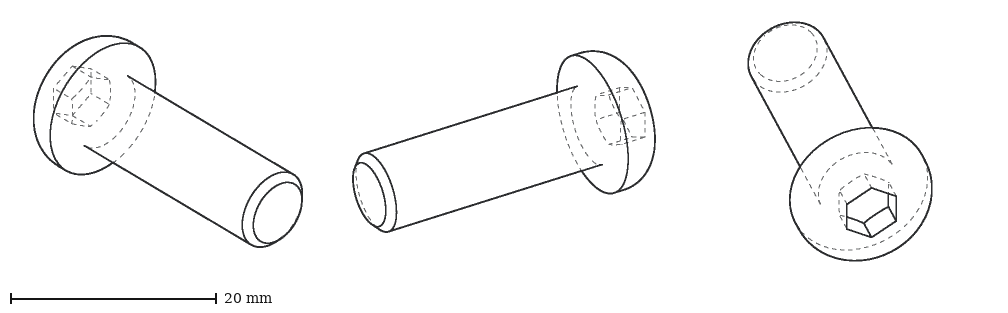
import cadquery as cq
import math

total_length = 29.4
head_diameter = 14.0
head_height = 4.4
dome_radius = 3.32
shank_diameter = 8.0
neck_fillet = 0.4
tip_chamfer = 0.75
socket_across_flats = 5.0
socket_corner_depth = 2.6
socket_floor_radius = 2.32
socket_floor_fillet = 0.95

head_radius = head_diameter / 2
shank_radius = shank_diameter / 2


def make_body():
    """Revolve the half profile of the head and shank about the X axis."""
    diagonal = math.sqrt(0.5)
    dome_middle = (
        dome_radius * (1 - diagonal),
        head_radius - dome_radius * (1 - diagonal),
    )
    neck_middle = (
        head_height + neck_fillet * (1 - diagonal),
        shank_radius + neck_fillet * (1 - diagonal),
    )
    profile = (
        cq.Workplane("XY")
        .lineTo(0, head_radius - dome_radius)
        .threePointArc(dome_middle, (dome_radius, head_radius))
        .lineTo(head_height, head_radius)
        .lineTo(head_height, shank_radius + neck_fillet)
        .threePointArc(neck_middle, (head_height + neck_fillet, shank_radius))
        .lineTo(total_length - tip_chamfer, shank_radius)
        .lineTo(total_length, shank_radius - tip_chamfer)
        .lineTo(total_length, 0)
        .close()
    )
    return profile.revolve(360, (0, 0, 0), (1, 0, 0))


def make_socket():
    """Hexagonal socket with corners on the Z axis and a rounded rim around its flat floor."""
    corner_radius = socket_across_flats / 2 / math.cos(math.pi / 6)
    arc_angle = math.asin((corner_radius - socket_floor_radius) / socket_floor_fillet)
    arc_center_x = socket_corner_depth - socket_floor_fillet * math.cos(arc_angle)
    socket_depth = arc_center_x + socket_floor_fillet
    arc_middle = (
        arc_center_x + socket_floor_fillet * math.cos(arc_angle / 2),
        socket_floor_radius + socket_floor_fillet * math.sin(arc_angle / 2),
    )
    plane = cq.Plane(origin=(0, 0, 0), xDir=(0, 0, 1), normal=(1, 0, 0))
    hexagon = cq.Workplane(plane).polygon(6, 2 * corner_radius).extrude(socket_depth)
    envelope = (
        cq.Workplane("XY")
        .lineTo(0, corner_radius)
        .lineTo(socket_corner_depth, corner_radius)
        .threePointArc(arc_middle, (socket_depth, socket_floor_radius))
        .lineTo(socket_depth, 0)
        .close()
        .revolve(360, (0, 0, 0), (1, 0, 0))
    )
    return hexagon.intersect(envelope)


result = make_body().cut(make_socket())